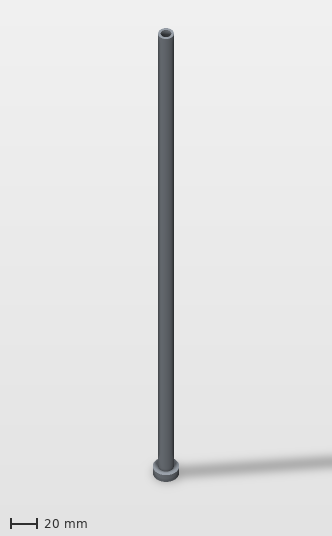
import cadquery as cq

overall_length = 457.0
head_diameter = 20.0
head_height = 7.0
shank_diameter = 12.0
bore_diameter = 8.0

shank_length = overall_length - head_height


def make_head():
    """Round flange at the lower end of the sleeve."""
    return cq.Workplane("XY").circle(head_diameter / 2).extrude(head_height)


def add_shank(body):
    """Long cylindrical shank rising from the top of the head."""
    return body.faces(">Z").workplane().circle(shank_diameter / 2).extrude(shank_length)


def cut_bore(body):
    """Plain bore running the full length of the sleeve."""
    bore = cq.Workplane("XY").circle(bore_diameter / 2).extrude(overall_length)
    return body.cut(bore)


result = cut_bore(add_shank(make_head()))